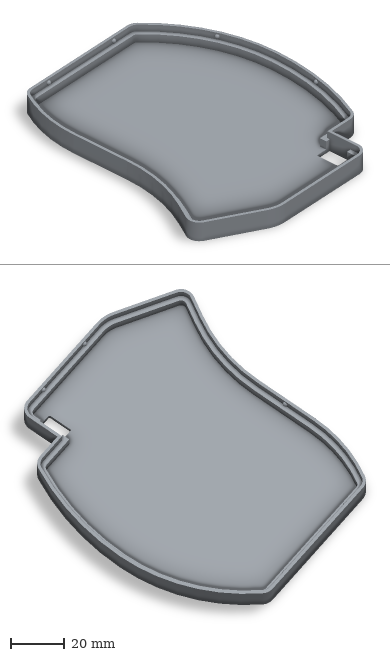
import cadquery as cq
import math

length = 122.4
height = 8.5
floor_thickness = 1.7
lip_wall = 1.2
ledge_width = 2.0
ledge_depth = 3.0

crest_x = 53.6
crest_y = 106.1
left_crest_radius = 76.5
right_crest_radius = 106.9

step_x = 104.0
step_y = 79.8

flat_y = 14.2
flat_start_x = 32.7
flat_end_x = 59.3
shoulder_radius = 59.4
concave_radius = 67.3
tip_angle = math.radians(30)
right_corner_y = 28.0

lip_inner_radius = 4.0
corner_radius = lip_inner_radius + lip_wall
bend_radius = 15.0

window_length = 10.4
window_width = 7.2
window_corner_radius = 0.6

bump_radius = 1.0
bump_drop = 1.7
left_bump_ys = (72.8, 35.9)
right_bump_ys = (66.4, 41.3)
bottom_bump_x = 45.8
top_bump_xs = (28.2, 76.6)


def arc_y(x, center_x, center_y, radius):
    """Height of the upper half of a circle at x; a negative radius gives the lower half."""
    return center_y + math.copysign(math.sqrt(radius**2 - (x - center_x) ** 2), radius)


def crest_radius(x):
    return left_crest_radius if x < crest_x else right_crest_radius


def crest_height(x):
    radius = crest_radius(x)
    return arc_y(x, crest_x, crest_y - radius, radius)


def shoulder_height(x):
    return arc_y(x, flat_start_x, flat_y + shoulder_radius, -shoulder_radius)


def concave_height(x):
    return arc_y(x, flat_end_x, flat_y - concave_radius, concave_radius)


def tip_point(start):
    """Right-angled corner between the straight run from start and the slanted right side."""
    run_x = length - start[0]
    run_y = right_corner_y - start[1]
    run = run_x * math.cos(tip_angle) - run_y * math.sin(tip_angle)
    return (start[0] + run * math.cos(tip_angle), start[1] - run * math.sin(tip_angle))


def tray_blank():
    """Solid block with the full outer outline and its rounded corners."""
    top_left = (0, crest_height(0))
    top_right = (step_x, crest_height(step_x))
    bottom_left = (0, shoulder_height(0))
    concave_end_x = flat_end_x + concave_radius * math.sin(tip_angle)
    concave_end = (concave_end_x, concave_height(concave_end_x))
    tip = tip_point(concave_end)
    step_end = (length, step_y)
    bend = (length, right_corner_y)

    def arc_middle(start_x, end_x, curve):
        middle_x = (start_x + end_x) / 2
        return (middle_x, curve(middle_x))

    blank = (
        cq.Workplane("XY")
        .moveTo(*top_left)
        .threePointArc(arc_middle(0, crest_x, crest_height), (crest_x, crest_y))
        .threePointArc(arc_middle(crest_x, step_x, crest_height), top_right)
        .lineTo(step_x, step_y)
        .lineTo(*step_end)
        .lineTo(*bend)
        .lineTo(*tip)
        .lineTo(*concave_end)
        .threePointArc(arc_middle(concave_end_x, flat_end_x, concave_height), (flat_end_x, flat_y))
        .lineTo(flat_start_x, flat_y)
        .threePointArc(arc_middle(flat_start_x, 0, shoulder_height), bottom_left)
        .close()
        .extrude(height)
    )
    corners = (
        (corner_radius, (top_left, bottom_left, top_right, step_end, tip)),
        (bend_radius, (bend,)),
    )
    for radius, points in corners:
        for x, y in points:
            blank = blank.edges(cq.NearestToPointSelector((x, y, height / 2))).fillet(radius)
    return blank


def inset_cavity(blank, inset, bottom_z):
    """Cavity that follows the outline at a constant inset, open at the rim."""
    inner = blank.faces("<Z").wires().val().offset2D(-inset, "intersection")[0]
    depth = cq.Vector(0, 0, height - bottom_z)
    return cq.Workplane(cq.Solid.extrudeLinear(inner, [], depth)).translate((0, 0, bottom_z))


def window():
    return (
        cq.Workplane("XY")
        .box(window_length, window_width, height - ledge_depth, centered=False)
        .edges("|Z and >X and <Y")
        .fillet(window_corner_radius)
        .translate((step_x, step_y - lip_wall - window_width, 0))
    )


def bump_centers():
    """Plan positions of the bump spheres, on the inner face of the lip."""
    centers = [(lip_wall, y) for y in left_bump_ys]
    centers += [(length - lip_wall, y) for y in right_bump_ys]
    centers.append((bottom_bump_x, flat_y + lip_wall))
    for x in top_bump_xs:
        tilt = math.asin((x - crest_x) / crest_radius(x))
        centers.append((x - lip_wall * math.sin(tilt), crest_height(x) - lip_wall * math.cos(tilt)))
    return centers


blank = tray_blank()
result = blank.cut(inset_cavity(blank, lip_wall, height - ledge_depth))
result = result.cut(inset_cavity(blank, lip_wall + ledge_width, floor_thickness))
result = result.cut(window())
for x, y in bump_centers():
    bump = cq.Workplane("XY").sphere(bump_radius).translate((x, y, height - bump_drop))
    result = result.union(bump)